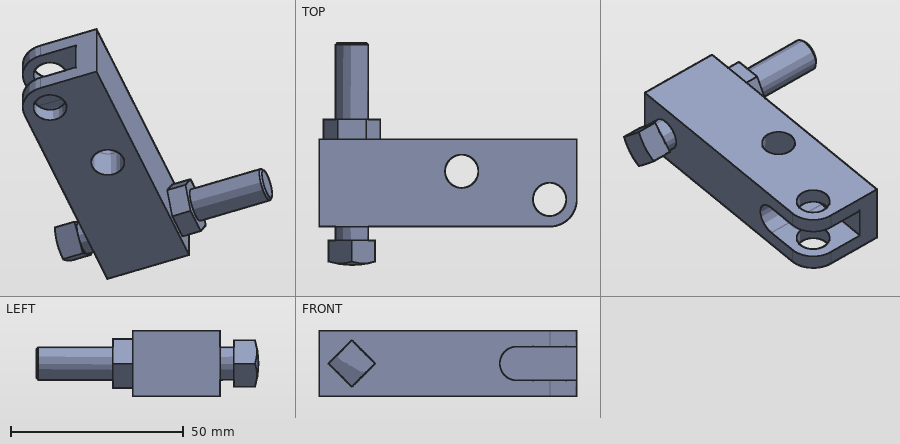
import cadquery as cq
import math

block_length = 74.6
block_width = 25.4
block_height = 19.0

fork_radius = 7.9
pin_x = block_length - fork_radius
slot_height = 9.8
slot_start_x = 52.3
slot_depth = 18.95

hole_diameter = 9.55
middle_hole_x = 41.25
middle_hole_y = 16.05

bolt_x = 9.5
bolt_diameter = 9.55
bolt_chamfer = 0.6
bolt_total_length = 64.3
head_gap = 3.95
head_height = 7.15
head_side = 9.55
dome_drop = 1.05
nut_thickness = 5.7
nut_across_flats = 14.25


def bolt_plane(y):
    """Plane across the bolt axis at the given Y, facing +Y."""
    return cq.Workplane(cq.Plane(origin=(bolt_x, y, 0), xDir=(1, 0, 0), normal=(0, 1, 0)))


def make_block():
    block = cq.Workplane("XY").box(block_length, block_width, block_height, centered=(False, False, True))
    block = block.edges("|Z and >X and <Y").fillet(fork_radius)
    return block.cut(make_slot()).cut(make_holes())


def make_slot():
    """Round-ended slot opening to -Y and +X, closed on the +Y side."""
    end_radius = slot_height / 2
    arc_x = slot_start_x + end_radius
    return (
        cq.Workplane("XZ")
        .moveTo(block_length, -end_radius)
        .lineTo(arc_x, -end_radius)
        .threePointArc((slot_start_x, 0), (arc_x, end_radius))
        .lineTo(block_length, end_radius)
        .close()
        .extrude(-slot_depth)
    )


def make_holes():
    return (
        cq.Workplane("XY")
        .pushPoints([(middle_hole_x, middle_hole_y), (pin_x, fork_radius)])
        .circle(hole_diameter / 2)
        .extrude(block_height, both=True)
    )


def make_head():
    """Square head turned corner-up, its end rounded by a large sphere."""
    end_y = -head_gap - head_height
    corner_radius = head_side / math.sqrt(2)
    dome_radius = (corner_radius**2 + dome_drop**2) / (2 * dome_drop)
    head = bolt_plane(end_y).polygon(4, 2 * corner_radius).extrude(head_height)
    dome = bolt_plane(end_y + dome_radius).sphere(dome_radius)
    return head.intersect(dome)


def make_shank():
    shank_length = bolt_total_length - head_height
    shank = bolt_plane(-head_gap).circle(bolt_diameter / 2).extrude(shank_length)
    return shank.faces(">Y").chamfer(bolt_chamfer)


def make_nut():
    across_corners = nut_across_flats / math.cos(math.pi / 6)
    return bolt_plane(block_width).polygon(6, across_corners).extrude(nut_thickness)


result = make_block().union(make_shank()).union(make_head()).union(make_nut())